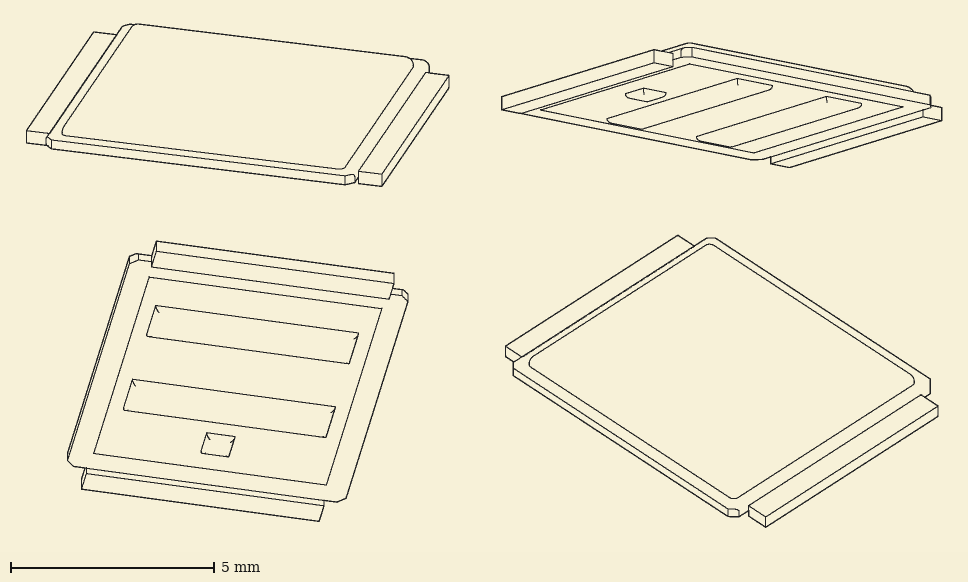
import cadquery as cq

total_length = 9.1
total_height = 0.7

leg_length_x = 0.6
leg_width_y = 5.97
leg_height = 0.34
flange_length = total_length - 2 * leg_length_x
flange_width = 7.0
flange_bottom = 0.17
flange_top = 0.42
sheet_thickness = flange_top - flange_bottom
flange_corner_chamfer = 0.19
flange_bend_radius = flange_top - leg_height
cap_length = 7.23
cap_width = 6.33
cap_height = total_height - flange_top
cap_rim_radius = 0.24
cap_corner_radius = 0.15

die_length = cap_length - 2 * sheet_thickness
die_width = cap_width - 2 * sheet_thickness
die_height = cap_height
pad_drop = 0.13
pad_edge_radius = 0.12
gate_pad_center_x = -2.4
gate_pad_size = 0.71
source_pad_centers_x = (-1.01, 1.81)
source_pad_length_x = 1.11
source_pad_width_y = 5.1


def block(length, width, bottom, height, center_x=0.0):
    """A rectangular block centred on Y = 0, standing on the given level."""
    return (
        cq.Workplane("XY", origin=(center_x, 0, bottom))
        .box(length, width, height, centered=(True, True, False))
    )


def make_flange():
    """Flange plate with clipped corners and bent-over upper edges at both X ends."""
    plate = block(flange_length, flange_width, flange_bottom, sheet_thickness)
    plate = plate.edges(">Z and |Y").fillet(flange_bend_radius)
    outline = block(flange_length, flange_width, flange_bottom, sheet_thickness)
    outline = outline.edges("|Z").chamfer(flange_corner_chamfer)
    return plate.intersect(outline)


def make_cap():
    """Raised cap with rounded corners and a rounded top rim."""
    cap = block(cap_length, cap_width, flange_top, cap_height)
    cap = cap.edges("|Z").fillet(cap_corner_radius)
    return cap.faces(">Z").edges().fillet(cap_rim_radius)


def make_can():
    """Flange, cap and both legs in one piece, hollowed from below for the die."""
    can = make_flange().union(make_cap())
    leg_center_x = (total_length - leg_length_x) / 2
    for side in (-1, 1):
        can = can.union(block(leg_length_x, leg_width_y, 0, leg_height, side * leg_center_x))
    return can.cut(block(die_length, die_width, flange_bottom, die_height))


def make_pad(center_x, length, width):
    """Contact pad below the die, rounded along its lower edges."""
    pad = block(length, width, flange_bottom - pad_drop, pad_drop, center_x)
    return pad.edges("<Z").fillet(pad_edge_radius)


def make_die():
    """Die slab, flush with the flange underside, carrying its gate and source pads."""
    die = block(die_length, die_width, flange_bottom, die_height)
    die = die.union(make_pad(gate_pad_center_x, gate_pad_size, gate_pad_size))
    for center_x in source_pad_centers_x:
        die = die.union(make_pad(center_x, source_pad_length_x, source_pad_width_y))
    return die


can = make_can()
die = make_die()
result = cq.Compound.makeCompound([can.val(), die.val()])